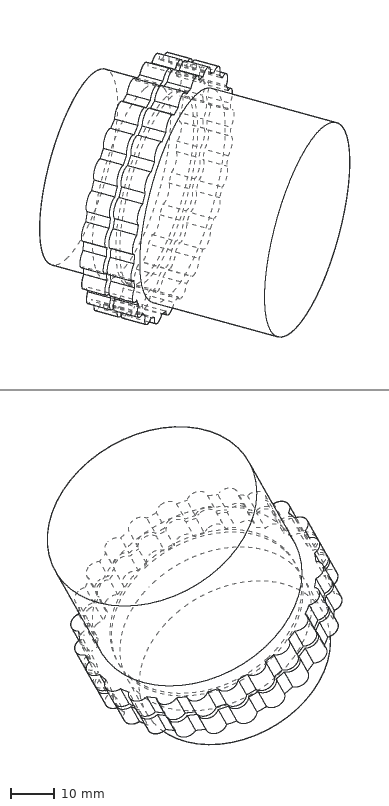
import cadquery as cq

total_length = 57.0
front_diameter = 46.8
rear_diameter = 51.2

first_ring_start = 13.2
first_ring_width = 5.8
ring_gap = 1.0
second_ring_width = 5.9
second_ring_start = first_ring_start + first_ring_width + ring_gap
second_ring_end = second_ring_start + second_ring_width

ring_outer_radius = 30.9
ring_root_radius = 29.1
lobe_radius = 2.65
lobe_count = 24
lobe_center_radius = ring_outer_radius - lobe_radius

first_ring_angle = 0.3
second_ring_angle = 0.0


def cylinder_along_x(start, end, diameter):
    """Solid cylinder on the X axis between two stations."""
    return cq.Workplane("YZ", origin=(start, 0, 0)).circle(diameter / 2).extrude(end - start)


def lobed_ring(start, width, first_lobe_angle):
    """Disc on the X axis with round lobes evenly spaced about its rim."""
    disc = cylinder_along_x(start, start + width, 2 * ring_root_radius)
    lobes = (
        cq.Workplane("YZ", origin=(start, 0, 0))
        .polarArray(lobe_center_radius, first_lobe_angle, 360, lobe_count)
        .circle(lobe_radius)
        .extrude(width)
    )
    return disc.union(lobes)


front_body = cylinder_along_x(0, second_ring_end, front_diameter)
rear_body = cylinder_along_x(second_ring_end, total_length, rear_diameter)

result = (
    front_body
    .union(rear_body)
    .union(lobed_ring(first_ring_start, first_ring_width, first_ring_angle))
    .union(lobed_ring(second_ring_start, second_ring_width, second_ring_angle))
)